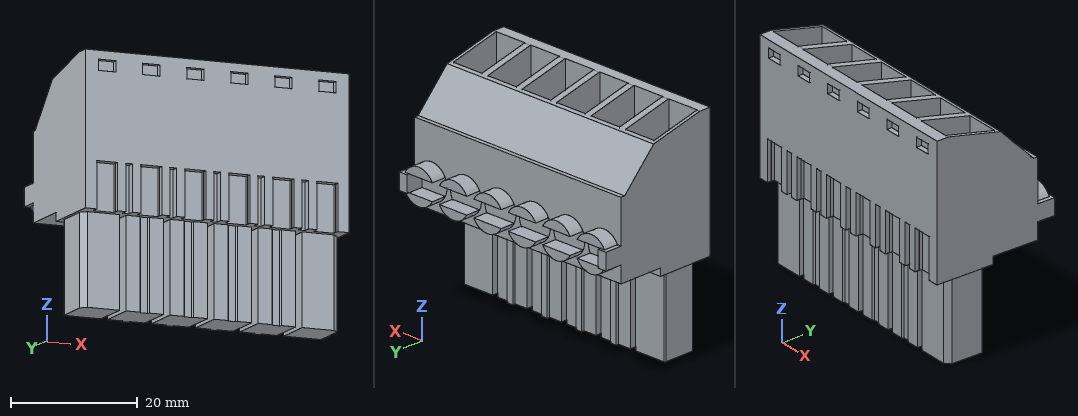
import cadquery as cq


POLES = 6
LENGTH = 45.7
PITCH = LENGTH / POLES
POLE_CENTERS = [(i - (POLES - 1) / 2) * PITCH for i in range(POLES)]

HEIGHT = 25.7
DEPTH = 20.15
BOTTOM_STEP_Y = 11.25
BOTTOM_STEP_HEIGHT = 1.45
BACK_TOP = 16.35
BACK_LEDGE = 0.82
BEND_Y = 12.8
BEND_Z = 23.25
TOP_FLAT = 2.42

ENTRY_WIDTH = 6.3
ENTRY_FRONT = 2.3
ENTRY_BACK = 12.02
ENTRY_FLOOR = BACK_TOP

WINDOW_WIDTH = 2.95
WINDOW_HEIGHT = 1.85
WINDOW_DEPTH = 1.0
WINDOW_TOP_MARGIN = 1.45

LEG_WIDTH = 6.5
LEG_LENGTH = 15.45
LEG_FRONT = 2.45
LEG_BACK = 9.7
END_FRONT_CHAMFER = 0.95
END_BACK_CHAMFER = 0.25

GROOVE_WIDTH = 1.65
GROOVE_FLOOR_WIDTH = 1.25
GROOVE_DEPTH = 0.3
RIB_WIDTH = GROOVE_FLOOR_WIDTH
RIB_HEIGHT = 0.55

SLOT_HEIGHT = 7.8
SLOT_WIDTH = 3.6
SLOT_LEDGE = 0.07
SLOT_LEDGE_DEPTH = 0.8
SLOT_DEPTH = 1.35
GAP_SLOT_WIDTH = PITCH - LEG_WIDTH

SCREW_DIAMETER = 6.85
SCREW_PROTRUSION = 2.93
SCREW_SEAT = 2.3
SCREW_Z = 6.35
SCREW_SLOT = 3.25
TAB_WIDTH = 1.7
TAB_PROTRUSION = 3.45
TAB_HEIGHT = SCREW_SLOT


def block(x_center, x_size, y_min, y_max, z_min, z_max):
    """Box centered on x_center, between the given Y and Z limits."""
    box = cq.Workplane("XY").box(x_size, y_max - y_min, z_max - z_min, centered=(True, False, False))
    return box.translate((x_center, y_min, z_min))


def housing_shell():
    """Solid side profile extruded along the whole row."""
    profile = [
        (0, 0),
        (BOTTOM_STEP_Y, 0),
        (BOTTOM_STEP_Y, BOTTOM_STEP_HEIGHT),
        (DEPTH, BOTTOM_STEP_HEIGHT),
        (DEPTH, BACK_TOP),
        (DEPTH - BACK_LEDGE, BACK_TOP),
        (BEND_Y, BEND_Z),
        (TOP_FLAT, HEIGHT),
        (0, HEIGHT),
    ]
    return cq.Workplane("YZ").polyline(profile).close().extrude(LENGTH / 2, both=True)


def end_tab(side):
    """Tab on the back face, flush with the left (-1) or right (+1) end."""
    x_center = side * (LENGTH - TAB_WIDTH) / 2
    z_min = SCREW_Z - TAB_HEIGHT / 2
    return block(x_center, TAB_WIDTH, DEPTH, DEPTH + TAB_PROTRUSION, z_min, z_min + TAB_HEIGHT)


def leg_blank(x_center):
    """Plain rectangular leg hanging from the housing."""
    return block(x_center, LEG_WIDTH, LEG_FRONT, LEG_BACK, -LEG_LENGTH, 0)


def end_leg(x_center, side):
    """Leg at one end of the row, with its two outer edges chamfered."""
    outer = ">X" if side > 0 else "<X"
    leg = leg_blank(x_center)
    leg = leg.faces(outer).edges("<Y").chamfer(END_FRONT_CHAMFER)
    return leg.faces(outer).edges(">Y").chamfer(END_BACK_CHAMFER)


def key_groove(x_center):
    """Shallow groove down the front of a leg, narrowing toward its floor."""
    mouth = GROOVE_WIDTH / 2
    floor = GROOVE_FLOOR_WIDTH / 2
    outline = [
        (x_center - mouth, LEG_FRONT),
        (x_center + mouth, LEG_FRONT),
        (x_center + floor, LEG_FRONT + GROOVE_DEPTH),
        (x_center - floor, LEG_FRONT + GROOVE_DEPTH),
    ]
    return cq.Workplane("XY").polyline(outline).close().extrude(-LEG_LENGTH)


def key_rib(x_center):
    """Straight rib down the back of a leg."""
    return block(x_center, RIB_WIDTH, LEG_BACK, LEG_BACK + RIB_HEIGHT, -LEG_LENGTH, 0)


def inner_leg(x_center):
    """Leg with a key groove in front and a key rib behind."""
    return leg_blank(x_center).cut(key_groove(x_center)).union(key_rib(x_center))


def wire_entry(x_center):
    """Rectangular pocket open to the top."""
    return block(x_center, ENTRY_WIDTH, ENTRY_FRONT, ENTRY_BACK, ENTRY_FLOOR, HEIGHT)


def window(x_center):
    """Shallow rectangular pocket in the front face."""
    z_max = HEIGHT - WINDOW_TOP_MARGIN
    return block(x_center, WINDOW_WIDTH, 0, WINDOW_DEPTH, z_max - WINDOW_HEIGHT, z_max)


def front_slot(x_center, width, depth):
    """Slot in the front face, open to the bottom."""
    return block(x_center, width, 0, depth, 0, SLOT_HEIGHT)


def pole_slot(x_center):
    """Wide slot in front of a leg, with a narrow ledge down each side wall."""
    outer = front_slot(x_center, SLOT_WIDTH, SLOT_LEDGE_DEPTH)
    inner = front_slot(x_center, SLOT_WIDTH - 2 * SLOT_LEDGE, SLOT_DEPTH)
    return outer.union(inner)


def screw_cylinder(x_center):
    """Full screw cylinder, from the bottom of its seat to its outer end."""
    circle = cq.Workplane("XZ", origin=(x_center, DEPTH - SCREW_SEAT, SCREW_Z)).circle(SCREW_DIAMETER / 2)
    return circle.extrude(-(SCREW_SEAT + SCREW_PROTRUSION))


def make_screw(x_center):
    """Screw with a slot across its head, down to the housing's back face."""
    z_min = SCREW_Z - SCREW_SLOT / 2
    slot = block(x_center, SCREW_DIAMETER, DEPTH, DEPTH + SCREW_PROTRUSION, z_min, z_min + SCREW_SLOT)
    return screw_cylinder(x_center).cut(slot)


def make_housing():
    """Housing with its legs and tabs, and all its pockets, slots and screw seats."""
    housing = housing_shell()
    for x_center in POLE_CENTERS:
        housing = housing.cut(wire_entry(x_center))
        housing = housing.cut(window(x_center))
        housing = housing.cut(pole_slot(x_center))
        housing = housing.cut(screw_cylinder(x_center))
    for x_center in POLE_CENTERS[1:]:
        housing = housing.cut(front_slot(x_center - PITCH / 2, GAP_SLOT_WIDTH, SLOT_DEPTH))

    housing = housing.union(end_leg(POLE_CENTERS[0], -1))
    for x_center in POLE_CENTERS[1:-1]:
        housing = housing.union(inner_leg(x_center))
    housing = housing.union(end_leg(POLE_CENTERS[-1], 1))

    for side in (-1, 1):
        housing = housing.union(end_tab(side))
    return housing


housing = make_housing()
screws = [make_screw(x_center) for x_center in POLE_CENTERS]

result = cq.Compound.makeCompound([housing.solids().val(), *[screw.val() for screw in screws]])